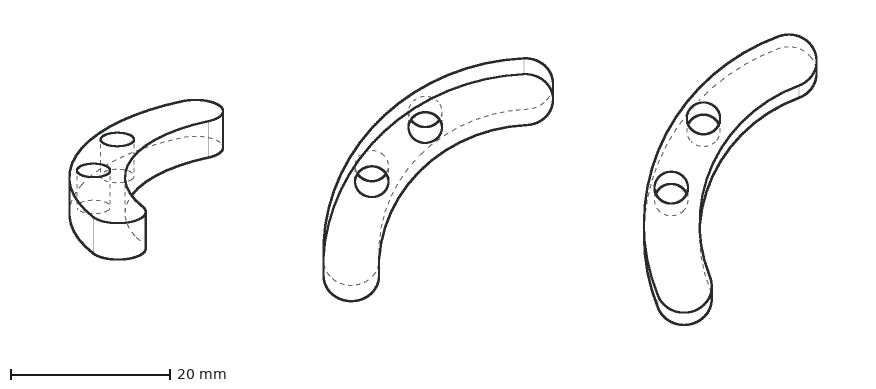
import cadquery as cq
import math

length = 39.5
band_width = 7.0
thickness = 5.0
half_sweep = math.radians(45)
hole_diameter = 4.2
hole_spacing = 10.0

end_radius = band_width / 2
centre_radius = (length / 2 - end_radius) / math.sin(half_sweep)
outer_radius = centre_radius + end_radius
inner_radius = centre_radius - end_radius


def arc_point(radius, angle):
    """Point on an arc about the origin, with the angle measured from -X."""
    return (-radius * math.cos(angle), radius * math.sin(angle))


def curved_bar():
    """Arc-shaped bar of constant width with full-round ends."""
    tip_x, tip_y = arc_point(centre_radius, half_sweep)
    tip_x += end_radius * math.sin(half_sweep)
    tip_y += end_radius * math.cos(half_sweep)
    return (
        cq.Workplane("XY")
        .moveTo(*arc_point(outer_radius, -half_sweep))
        .threePointArc((-outer_radius, 0), arc_point(outer_radius, half_sweep))
        .threePointArc((tip_x, tip_y), arc_point(inner_radius, half_sweep))
        .threePointArc((-inner_radius, 0), arc_point(inner_radius, -half_sweep))
        .threePointArc((tip_x, -tip_y), arc_point(outer_radius, -half_sweep))
        .close()
        .extrude(thickness)
    )


def mounting_holes():
    """Two through holes in line along Y, level with the middle of the bar."""
    return (
        cq.Workplane("XY")
        .pushPoints([(-centre_radius, side * hole_spacing / 2) for side in (-1, 1)])
        .circle(hole_diameter / 2)
        .extrude(thickness)
    )


result = curved_bar().cut(mounting_holes())